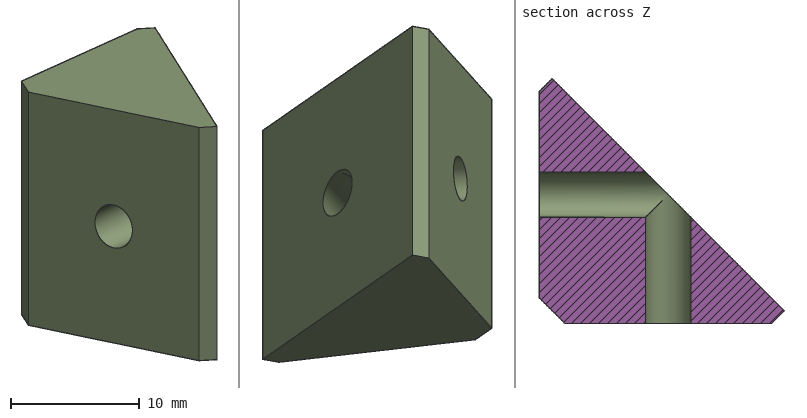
import cadquery as cq

leg_length = 19.0
height = 19.0
corner_chamfer = 2.0
tip_chamfer = 1.0

hole_diameter = 3.5
hole_offset = (leg_length + tip_chamfer) / 2
hole_height = height / 2


def make_block():
    outline = [
        (corner_chamfer, 0),
        (leg_length - tip_chamfer, 0),
        (leg_length, tip_chamfer),
        (tip_chamfer, leg_length),
        (0, leg_length - tip_chamfer),
        (0, corner_chamfer),
    ]
    return cq.Workplane("XY").polyline(outline).close().extrude(height)


def make_hole(start, direction):
    """Cylinder long enough to pass right through the block."""
    cylinder = cq.Solid.makeCylinder(
        hole_diameter / 2, leg_length, cq.Vector(*start), cq.Vector(*direction)
    )
    return cq.Workplane(obj=cylinder)


hole_along_x = make_hole((0, hole_offset, hole_height), (1, 0, 0))
hole_along_y = make_hole((hole_offset, 0, hole_height), (0, 1, 0))

result = make_block().cut(hole_along_x).cut(hole_along_y)